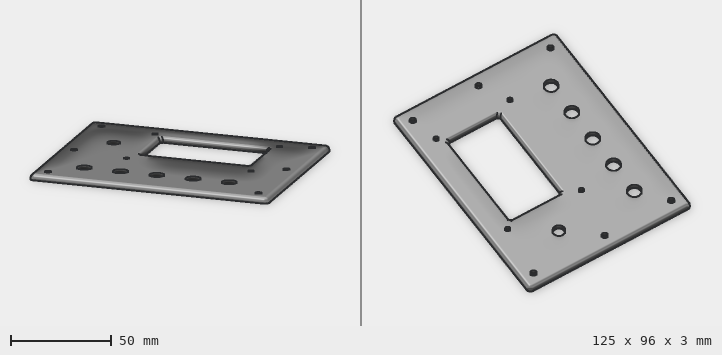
import cadquery as cq
import math

LENGTH = 125
WIDTH = 96.0
THICKNESS = 3.0
EDGE_RADIUS = 2.4

WINDOW_LENGTH = 57.0
WINDOW_WIDTH = 30.5
WINDOW_X = 6.9
WINDOW_Y = 17.8
WINDOW_RIM_RADIUS = 1.9
WINDOW_CORNER_CUT = 1.4

MOUNT_DIAMETER = 3.2
MOUNT_X = 55.1
MOUNT_Y = 40.6
LEFT_MIDDLE_Y = -1.4
RIGHT_MIDDLE_Y = 1.8

DISPLAY_DIAMETER = 2.8
DISPLAY_SPACING_X = 65.2
DISPLAY_SPACING_Y = 43.5
DISPLAY_Y = 15.1

BUTTON_DIAMETER = 7.5
BUTTON_COUNT = 5
BUTTON_PITCH = 19.0
FIRST_BUTTON_X = -40.4
BUTTON_Y = -28.4
SINGLE_DIAMETER = 6.5
SINGLE_Y = 16.1

CORNER_SIDES = [(-1, -1), (-1, 1), (1, -1), (1, 1)]


def make_plate():
    """Plate with rounded upright corners and a rounded top edge."""
    plate = cq.Workplane("XY").box(LENGTH, WIDTH, THICKNESS, centered=(True, True, False))
    return plate.edges("|Z or >Z").fillet(EDGE_RADIUS)


def make_corner_bar():
    """Bar across one window corner, its rim flush with the neighbouring rims.

    It points along +X from the sharp corner of the window. The rim is stretched
    by the square root of two because it crosses the corner diagonally.
    """
    reach = math.sqrt(2) * WINDOW_RIM_RADIUS
    face_x = -WINDOW_CORNER_CUT / math.sqrt(2)
    rim_end_x = face_x + reach
    wall_height = THICKNESS - WINDOW_RIM_RADIUS
    breadth = 2 * WINDOW_CORNER_CUT
    lower = cq.Workplane("XY").box(reach, breadth, wall_height, centered=(False, True, False))
    outer = cq.Workplane("XY").box(reach, breadth, THICKNESS, centered=(False, True, False))
    rim = (
        cq.Workplane("XZ", origin=(0, breadth / 2, 0))
        .center(rim_end_x, wall_height)
        .ellipse(reach, WINDOW_RIM_RADIUS)
        .extrude(breadth)
    )
    bar = lower.translate((face_x, 0, 0)).union(outer.translate((rim_end_x, 0, 0)))
    return bar.union(rim)


def cut_window(plate):
    """Cut the window, round its rim and cross its corners with straight bars."""
    margin = 2 * WINDOW_RIM_RADIUS
    block = cq.Workplane("XY").rect(WINDOW_LENGTH + 2 * margin, WINDOW_WIDTH + 2 * margin).extrude(THICKNESS)
    frame = block.cut(cq.Workplane("XY").rect(WINDOW_LENGTH, WINDOW_WIDTH).extrude(THICKNESS))
    inner_rim = frame.faces(">Z").wires(cq.selectors.LengthNthSelector(0)).edges()
    cutter = block.cut(inner_rim.fillet(WINDOW_RIM_RADIUS))
    bar = make_corner_bar()
    for side_x, side_y in CORNER_SIDES:
        angle = math.degrees(math.atan2(side_y, side_x))
        corner = (side_x * WINDOW_LENGTH / 2, side_y * WINDOW_WIDTH / 2, 0)
        cutter = cutter.cut(bar.rotate((0, 0, 0), (0, 0, 1), angle).translate(corner))
    return plate.cut(cutter.translate((WINDOW_X, WINDOW_Y, 0)))


def cut_holes(plate, points, diameter):
    """Cut round holes straight through the plate."""
    holes = cq.Workplane("XY").pushPoints(points).circle(diameter / 2).extrude(THICKNESS)
    return plate.cut(holes)


mount_points = [(side_x * MOUNT_X, side_y * MOUNT_Y) for side_x, side_y in CORNER_SIDES]
mount_points += [(-MOUNT_X, LEFT_MIDDLE_Y), (MOUNT_X, RIGHT_MIDDLE_Y)]
display_points = [
    (WINDOW_X + side_x * DISPLAY_SPACING_X / 2, DISPLAY_Y + side_y * DISPLAY_SPACING_Y / 2)
    for side_x, side_y in CORNER_SIDES
]
button_points = [(FIRST_BUTTON_X + i * BUTTON_PITCH, BUTTON_Y) for i in range(BUTTON_COUNT)]

result = cut_window(make_plate())
result = cut_holes(result, mount_points, MOUNT_DIAMETER)
result = cut_holes(result, display_points, DISPLAY_DIAMETER)
result = cut_holes(result, button_points, BUTTON_DIAMETER)
result = cut_holes(result, [(FIRST_BUTTON_X, SINGLE_Y)], SINGLE_DIAMETER)